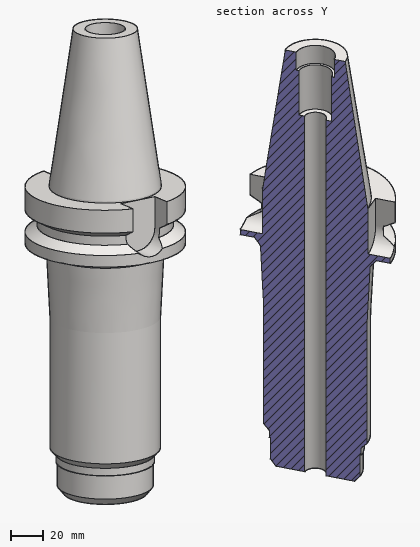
import cadquery as cq
import math


TAPER_LENGTH = 101.8
TOTAL_LENGTH = 302.0
GAUGE_DIAMETER = 69.85
TAPER_RATIO = 7 / 24
TAPER_END_DIAMETER = GAUGE_DIAMETER - TAPER_RATIO * TAPER_LENGTH

FLANGE_DIAMETER = 100.0
FLANGE_TOP = -1.0
FLANGE_BOTTOM = -38.0
GROOVE_DIAMETER = 85.0
GROOVE_CENTER = -23.2
GROOVE_FLOOR_WIDTH = 5.9
GROOVE_FLANK_ANGLE = 30.0
GROOVE_DEPTH = (FLANGE_DIAMETER - GROOVE_DIAMETER) / 2
GROOVE_FLANK_HEIGHT = GROOVE_DEPTH * math.tan(math.radians(GROOVE_FLANK_ANGLE))
GROOVE_FLOOR_TOP = GROOVE_CENTER + GROOVE_FLOOR_WIDTH / 2
GROOVE_FLOOR_BOTTOM = GROOVE_CENTER - GROOVE_FLOOR_WIDTH / 2

KEYWAY_WIDTH = 25.7
KEYWAY_FLOOR_X = 35.3
KEYWAY_BOTTOM = -34.0

BODY_BOTTOM = TAPER_LENGTH - TOTAL_LENGTH
SHOULDER_TOP_DIAMETER = 81.0
SHOULDER_BOTTOM_DIAMETER = 73.3
SHOULDER_HEIGHT = 5.0
BODY_DIAMETER = 69.0
BODY_TOP = -86.0
BODY_LOWER_EDGE = BODY_BOTTOM + 29.1
COLLAR_DIAMETER = 61.5
COLLAR_TOP = BODY_BOTTOM + 25.0
COLLAR_BOTTOM = BODY_BOTTOM + 20.0
NOSE_DIAMETER = 60.0
NOSE_CHAMFER_HEIGHT = 4.7
NOSE_END_DIAMETER = 52.5

COUNTERBORE_DIAMETER = 25.0
COUNTERBORE_DEPTH = 13.0
PULL_STUD_BORE_DIAMETER = 21.5
PULL_STUD_BORE_DEPTH = 45.0
THROUGH_BORE_DIAMETER = 14.0


def make_turned_body():
    """Revolve the outer outline, given as (diameter, z) from shank end to nose."""
    outline = [
        (0, TAPER_LENGTH),
        (TAPER_END_DIAMETER, TAPER_LENGTH),
        (GAUGE_DIAMETER, 0),
        (GAUGE_DIAMETER, FLANGE_TOP),
        (FLANGE_DIAMETER, FLANGE_TOP),
        (FLANGE_DIAMETER, GROOVE_FLOOR_TOP + GROOVE_FLANK_HEIGHT),
        (GROOVE_DIAMETER, GROOVE_FLOOR_TOP),
        (GROOVE_DIAMETER, GROOVE_FLOOR_BOTTOM),
        (FLANGE_DIAMETER, GROOVE_FLOOR_BOTTOM - GROOVE_FLANK_HEIGHT),
        (FLANGE_DIAMETER, FLANGE_BOTTOM),
        (SHOULDER_TOP_DIAMETER, FLANGE_BOTTOM),
        (SHOULDER_BOTTOM_DIAMETER, FLANGE_BOTTOM - SHOULDER_HEIGHT),
        (BODY_DIAMETER, BODY_TOP),
        (BODY_DIAMETER, BODY_LOWER_EDGE),
        (COLLAR_DIAMETER, COLLAR_TOP),
        (COLLAR_DIAMETER, COLLAR_BOTTOM),
        (NOSE_DIAMETER, COLLAR_BOTTOM),
        (NOSE_DIAMETER, BODY_BOTTOM + NOSE_CHAMFER_HEIGHT),
        (NOSE_END_DIAMETER, BODY_BOTTOM),
        (0, BODY_BOTTOM),
    ]
    points = [(diameter / 2, z) for diameter, z in outline]
    return cq.Workplane("XZ").polyline(points).close().revolve(360, (0, 0), (0, 1))


def make_keyway_cutter(side):
    """Round-bottomed slot open at the flange top; side is +1 or -1 along X."""
    half_width = KEYWAY_WIDTH / 2
    arc_center = KEYWAY_BOTTOM + half_width
    return (
        cq.Workplane("YZ", origin=(side * KEYWAY_FLOOR_X, 0, 0))
        .moveTo(-half_width, FLANGE_TOP)
        .lineTo(-half_width, arc_center)
        .threePointArc((0, KEYWAY_BOTTOM), (half_width, arc_center))
        .lineTo(half_width, FLANGE_TOP)
        .close()
        .extrude(side * FLANGE_DIAMETER / 2)
    )


def make_bore_cutter(diameter, depth):
    """Cylinder reaching down from the small end of the taper."""
    return cq.Workplane("XY", origin=(0, 0, TAPER_LENGTH)).circle(diameter / 2).extrude(-depth)


result = make_turned_body()
for keyway_side in (1, -1):
    result = result.cut(make_keyway_cutter(keyway_side))

bores = [
    (COUNTERBORE_DIAMETER, COUNTERBORE_DEPTH),
    (PULL_STUD_BORE_DIAMETER, PULL_STUD_BORE_DEPTH),
    (THROUGH_BORE_DIAMETER, TOTAL_LENGTH),
]
for bore_diameter, bore_depth in bores:
    result = result.cut(make_bore_cutter(bore_diameter, bore_depth))